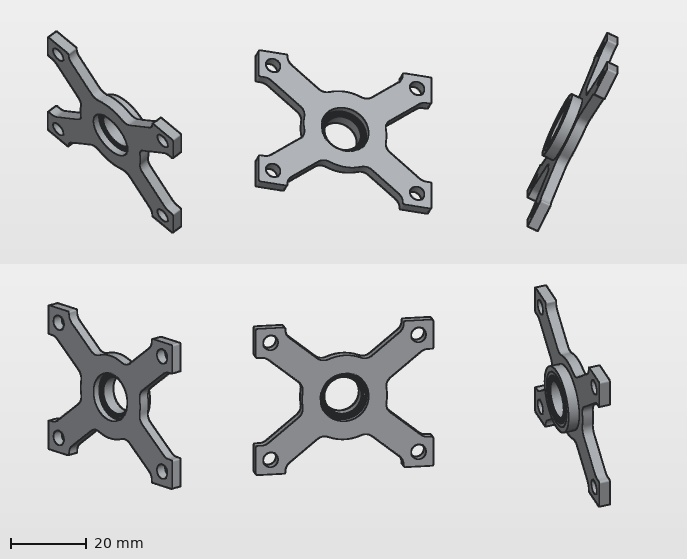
import cadquery as cq
import math

LENGTH = 48.0
HEIGHT = 40.0
TOTAL_DEPTH = 6.0
PLATE_THICKNESS = TOTAL_DEPTH / 2
BOSS_HEIGHT = TOTAL_DEPTH - PLATE_THICKNESS
FRONT_Y = -PLATE_THICKNESS

PAD_SIZE = 8.0
PAD_CORNER_RADIUS = 0.5
MOUNT_HOLE_DIAMETER = 4.0
MOUNT_X = (LENGTH - PAD_SIZE) / 2
MOUNT_Z = (HEIGHT - PAD_SIZE) / 2
ARM_WIDTH = PAD_SIZE
ARM_FILLET = 3.0

HUB_DIAMETER = 23.0
BOSS_DIAMETER = 18.0

LIP_DIAMETER = 13.0
BEARING_DIAMETER = 15.0
BEARING_WIDTH = 4.0
OUTER_RACE_BORE = 12.8
OUTER_RACE_CHAMFER = (LIP_DIAMETER - OUTER_RACE_BORE) / 2
INNER_RACE_DIAMETER = 11.4
BEARING_BORE = 10.0
INNER_RACE_CHAMFER = 0.2
SHIELD_RECESS = INNER_RACE_CHAMFER
SHIELD_CHAMFER = 0.3

ARM_ANGLE = math.atan2(MOUNT_Z, MOUNT_X)
ARM_REACH = math.hypot(MOUNT_X, MOUNT_Z)
BEARING_Y = BOSS_HEIGHT - BEARING_WIDTH
TOLERANCE = 0.0005
MOUNT_POINTS = [(x, z) for x in (-MOUNT_X, MOUNT_X) for z in (-MOUNT_Z, MOUNT_Z)]


def facing_back(y):
    """Workplane at depth y whose extrusions run toward +Y; its local y axis is -Z."""
    return cq.Workplane("XZ", origin=(0, y, 0)).transformed(rotate=(180, 0, 0))


def tube(outer_diameter, inner_diameter, y, width):
    """Plain ring about the Y axis, from depth y to y + width."""
    return facing_back(y).circle(outer_diameter / 2).circle(inner_diameter / 2).extrude(width)


def on_arm_flank(edge):
    """True for an edge lying in the long side face of an arm."""
    p = edge.Center()
    from_axis = abs(abs(p.x) * math.sin(ARM_ANGLE) - abs(p.z) * math.cos(ARM_ANGLE))
    return abs(from_axis - ARM_WIDTH / 2) < TOLERANCE


def make_plate():
    plate = facing_back(FRONT_Y).circle(HUB_DIAMETER / 2).extrude(PLATE_THICKNESS)
    for angle in (ARM_ANGLE, -ARM_ANGLE):
        arms = facing_back(FRONT_Y).transformed(rotate=(0, 0, math.degrees(angle)))
        plate = plate.union(arms.rect(2 * ARM_REACH, ARM_WIDTH).extrude(PLATE_THICKNESS))
    pads = facing_back(FRONT_Y).pushPoints(MOUNT_POINTS).rect(PAD_SIZE, PAD_SIZE).extrude(PLATE_THICKNESS)
    plate = plate.union(pads.edges("|Y").fillet(PAD_CORNER_RADIUS))
    plate = plate.edges("|Y").filter(on_arm_flank).fillet(ARM_FILLET)

    boss = facing_back(0).circle(BOSS_DIAMETER / 2).extrude(BOSS_HEIGHT)
    mount_holes = facing_back(FRONT_Y).pushPoints(MOUNT_POINTS).circle(MOUNT_HOLE_DIAMETER / 2)
    lip_bore = facing_back(FRONT_Y).circle(LIP_DIAMETER / 2).extrude(TOTAL_DEPTH)
    seat = facing_back(BEARING_Y).circle(BEARING_DIAMETER / 2).extrude(BEARING_WIDTH)
    return plate.union(boss).cut(mount_holes.extrude(PLATE_THICKNESS)).cut(lip_bore).cut(seat)


def make_outer_race():
    race = tube(BEARING_DIAMETER, OUTER_RACE_BORE, BEARING_Y, BEARING_WIDTH)
    bore_rims = cq.selectors.RadiusNthSelector(0)
    return race.faces("<Y or >Y").edges(bore_rims).chamfer(OUTER_RACE_CHAMFER)


def make_inner_race():
    race = tube(INNER_RACE_DIAMETER, BEARING_BORE, BEARING_Y, BEARING_WIDTH)
    return race.faces("<Y or >Y").edges().chamfer(INNER_RACE_CHAMFER)


def make_shield():
    width = BEARING_WIDTH - 2 * SHIELD_RECESS
    ring = tube(OUTER_RACE_BORE, INNER_RACE_DIAMETER, BEARING_Y + SHIELD_RECESS, width)
    outer_rims = cq.selectors.RadiusNthSelector(-1)
    return ring.faces("<Y or >Y").edges(outer_rims).chamfer(SHIELD_CHAMFER)


plate = make_plate()
outer_race = make_outer_race()
inner_race = make_inner_race()
shield = make_shield()

result = cq.Compound.makeCompound([plate.val(), outer_race.val(), inner_race.val(), shield.val()])